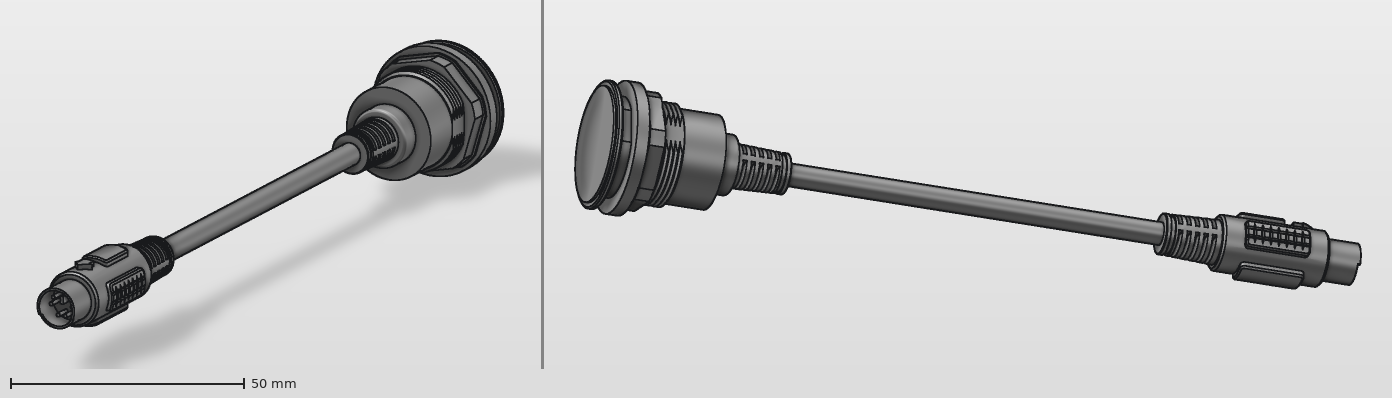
import math

import cadquery as cq

LENGTH = 172.2

FACE_DIA = 25.3
FACE_THICKNESS = 0.5
CAP_DIA = 27.9
CAP_END = 1.9
CAP_CHAMFER = 0.3
BARREL_MINOR_DIA = 21.0
BARREL_MAJOR_DIA = 22.5
BARREL_PLAIN_DIA = 22.0
BARREL_ACROSS_FLATS = 20.7
KEY_WIDTH = 1.9
KEY_LENGTH = 2.0
KEY_HEIGHT = 12.4
FLANGE_START = 4.8
FLANGE_END = 7.5
FLANGE_DIA = 29.0
NUT_BASE_END = 8.1
NUT_BASE_ACROSS_FLATS = 25.3
NUT_BASE_CORNER_DIA = 27.0
NUT_END = 11.7
NUT_CORNER_DIA = 26.0
NUT_ACROSS_FLATS = 24.1
NUT_TURN = 13.5
THREAD_PITCH = 1.0
THREAD_TURNS = 5
THREAD_END = NUT_END + THREAD_TURNS * THREAD_PITCH
HOUSING_DIA = 20.7
HOUSING_END = 26.3
COLLAR_DIA = 13.3
COLLAR_END = 30.8
COLLAR_FILLET = 0.7

RELIEF_LENGTH = 12.4
RELIEF_ROOT_DIA = 9.8
RELIEF_TIP_DIA = 9.0
RELIEF_CORE_DIA = 4.3
RELIEF_NECK_DIA = 8.1
RELIEF_NECK_LENGTH = 1.0
RELIEF_END_RING = 1.0
RELIEF_END_CHAMFER = 0.2
SLOT_COUNT = 5
SLOT_PITCH = 1.9
FIRST_SLOT = 1.7
SLOT_WIDTH = 0.9
WEB_THICKNESS = 1.5

CABLE_DIA = 5.0

PLUG_START = 140.6
PLUG_END = 164.7
PLUG_DIA = 12.2
PLUG_CORE_DIA = 10.3
PLUG_CHAMFER = 0.5
PAD_DIA = 14.5
PAD_START = 145.5
GRIP_LENGTH = 14.5
WINDOW_LENGTH = 10.2
PAD_WIDTH = 6.2
PAD_CORNER = 0.9
PAD_CHAMFER = 0.3
GRIP_RIBS = 3
GRIP_TEETH = 8
GRIP_GROOVE_WIDTH = 0.7
GRIP_GROOVE_DEPTH = 0.3
ARROW_START = 158.0
ARROW_SHOULDER = 160.0
ARROW_TIP = 162.5
ARROW_SHAFT_WIDTH = 2.8
ARROW_HEAD_WIDTH = 4.1
SHELL_DIA = 9.1
SHELL_BORE = 8.1
SHELL_DEPTH = 6.0
SHELL_STEP_Z = -1.9
SHELL_STEP_LENGTH = 0.5
PIN_DIA = 0.9
PIN_LENGTH = 3.5
PIN_PAIRS = [(2.0, 1.5), (2.5, 0.0), (0.9, -2.2)]
POLARISER_WIDTH = 0.7
POLARISER_HEIGHT = 1.7
POLARISER_Z = 1.2


def section(station):
    """Workplane across the axis; extrusions run towards the plug."""
    return cq.Workplane("XZ", origin=(0, -station, 0))


def disc(start, end, diameter):
    return section(start).circle(diameter / 2).extrude(end - start)


def tube(start, end, outer, inner):
    return section(start).circle(outer / 2).circle(inner / 2).extrude(end - start)


def bar(start, end, width, height, z=0.0):
    """Rectangular bar along the axis, centred in X and centred on height z."""
    return section(start).center(0, z).rect(width, height).extrude(end - start)


def cap():
    face = disc(0, FACE_THICKNESS, FACE_DIA)
    rim = disc(FACE_THICKNESS, CAP_END, CAP_DIA).edges("%CIRCLE").chamfer(CAP_CHAMFER)
    key = bar(CAP_END, CAP_END + KEY_LENGTH, KEY_WIDTH, KEY_HEIGHT, KEY_HEIGHT / 2)
    return face.union(rim).union(key)


def barrel():
    """Threaded barrel with two flats; the thread is a stack of V-shaped ridges."""
    minor = BARREL_MINOR_DIA / 2
    major = BARREL_MAJOR_DIA / 2
    profile = cq.Workplane("XY").moveTo(0, -NUT_END).lineTo(minor, -NUT_END)
    for turn in range(THREAD_TURNS):
        start = NUT_END + turn * THREAD_PITCH
        profile = profile.lineTo(major, -start - THREAD_PITCH / 2)
        profile = profile.lineTo(minor, -start - THREAD_PITCH)
    thread = profile.lineTo(0, -THREAD_END).close().revolve(360, (0, 0, 0), (0, 1, 0))
    plain = disc(CAP_END, NUT_END, BARREL_PLAIN_DIA)
    flats = bar(CAP_END, THREAD_END, BARREL_ACROSS_FLATS, BARREL_MAJOR_DIA)
    return plain.union(thread).intersect(flats)


def rounded_hexagon(start, end, across_flats, corner_dia):
    """Hexagon with its corners turned down to a circle, one flat near the top."""
    hexagon = section(start).polygon(6, across_flats / math.cos(math.pi / 6)).extrude(end - start)
    hexagon = hexagon.rotate((0, 0, 0), (0, 1, 0), -NUT_TURN)
    return hexagon.intersect(disc(start, end, corner_dia))


def socket():
    flange = disc(FLANGE_START, FLANGE_END, FLANGE_DIA)
    nut_base = rounded_hexagon(FLANGE_END, NUT_BASE_END, NUT_BASE_ACROSS_FLATS, NUT_BASE_CORNER_DIA)
    nut = rounded_hexagon(NUT_BASE_END, NUT_END, NUT_ACROSS_FLATS, NUT_CORNER_DIA)
    housing = disc(THREAD_END, HOUSING_END, HOUSING_DIA)
    collar = disc(HOUSING_END, COLLAR_END, COLLAR_DIA).faces("<Y").edges().fillet(COLLAR_FILLET)
    body = cap().union(barrel())
    for piece in (flange, nut_base, nut, housing, collar):
        body = body.union(piece)
    return body


def strain_relief(root, direction):
    """Relief growing from station root, towards the plug (1) or the socket (-1)."""

    def span(near, far):
        return sorted((root + direction * near, root + direction * far))

    end_ring_start = RELIEF_LENGTH - RELIEF_END_RING
    neck_start = end_ring_start - RELIEF_NECK_LENGTH
    near_dia, far_dia = (RELIEF_ROOT_DIA, RELIEF_TIP_DIA)[::direction]
    start, end = span(0, neck_start)
    relief = section(start).circle(near_dia / 2).workplane(offset=end - start).circle(far_dia / 2).loft()

    web = bar(start, end, RELIEF_ROOT_DIA, WEB_THICKNESS)
    for slot in range(SLOT_COUNT):
        slot_start = FIRST_SLOT + slot * SLOT_PITCH - SLOT_WIDTH / 2
        slot_span = span(slot_start, slot_start + SLOT_WIDTH)
        relief = relief.cut(tube(*slot_span, RELIEF_ROOT_DIA, RELIEF_CORE_DIA).cut(web))

    neck = disc(*span(neck_start, end_ring_start), RELIEF_NECK_DIA)
    end_ring = disc(*span(end_ring_start, RELIEF_LENGTH), RELIEF_TIP_DIA)
    outer_face = "<Y" if direction > 0 else ">Y"
    end_ring = end_ring.faces(outer_face).edges().chamfer(RELIEF_END_CHAMFER)
    return relief.union(neck).union(end_ring)


def pad_height(outline):
    """Trim an upright prism to the raised pad surface concentric with the plug body."""
    return outline.intersect(tube(PLUG_START, PLUG_END, PAD_DIA, PLUG_CORE_DIA))


def raised_pad(length):
    """Pad on the upper side of the plug body with rounded corners and chamfered rim."""
    middle = PAD_START + length / 2
    block = cq.Workplane("XY", origin=(0, -middle, 0)).rect(PAD_WIDTH, length).extrude(PAD_DIA)
    pad = block.edges("|Z").fillet(PAD_CORNER)
    return pad_height(pad).faces(">Z").edges().chamfer(PAD_CHAMFER)


def vee_groove(length):
    """Groove cutter along X whose point sits at the origin, opening upwards."""
    half = GRIP_GROOVE_WIDTH / 2
    corners = [(0, 0), (half, GRIP_GROOVE_DEPTH), (-half, GRIP_GROOVE_DEPTH)]
    return cq.Workplane("YZ").polyline(corners).close().extrude(length / 2, both=True)


def grip_pad():
    """Raised pad cut into ribs along the axis, with crosswise teeth."""
    pad = raised_pad(GRIP_LENGTH)
    radius = PAD_DIA / 2
    bottom = radius - GRIP_GROOVE_DEPTH
    middle = PAD_START + GRIP_LENGTH / 2
    rib_pitch = PAD_WIDTH / GRIP_RIBS
    for groove in range(1, GRIP_RIBS):
        x = groove * rib_pitch - PAD_WIDTH / 2
        tilt = math.degrees(math.asin(x / radius))
        lengthwise = vee_groove(GRIP_LENGTH).rotate((0, 0, 0), (0, 0, 1), 90)
        lengthwise = lengthwise.translate((0, -middle, bottom)).rotate((0, 0, 0), (0, 1, 0), tilt)
        pad = pad.cut(lengthwise)
    tooth_pitch = GRIP_LENGTH / GRIP_TEETH
    for tooth in range(1, GRIP_TEETH):
        station = PAD_START + tooth * tooth_pitch
        pad = pad.cut(vee_groove(PAD_WIDTH).translate((0, -station, bottom)))
    return pad


def arrow():
    shaft = ARROW_SHAFT_WIDTH / 2
    head = ARROW_HEAD_WIDTH / 2
    outline = [
        (-shaft, -ARROW_START),
        (shaft, -ARROW_START),
        (shaft, -ARROW_SHOULDER),
        (head, -ARROW_SHOULDER),
        (0, -ARROW_TIP),
        (-head, -ARROW_SHOULDER),
        (-shaft, -ARROW_SHOULDER),
    ]
    return pad_height(cq.Workplane("XY").polyline(outline).close().extrude(PAD_DIA))


def plug_body():
    body = disc(PLUG_START, PLUG_END, PLUG_DIA)
    body = body.edges("%CIRCLE").chamfer(PLUG_CHAMFER)
    body = body.union(raised_pad(WINDOW_LENGTH)).union(arrow())
    underside = raised_pad(GRIP_LENGTH).rotate((0, 0, 0), (0, 1, 0), 180)
    body = body.union(underside)
    for side in (-90, 90):
        body = body.union(grip_pad().rotate((0, 0, 0), (0, 1, 0), side))
    return body


def plug_shell():
    """Open shell, slightly shorter along its lower edge, with pins and a key bar inside."""
    floor = LENGTH - SHELL_DEPTH
    base = disc(PLUG_END, floor, SHELL_DIA)
    wall = tube(floor, LENGTH, SHELL_DIA, SHELL_BORE)
    step_top = SHELL_STEP_Z - SHELL_DIA / 2
    step = bar(LENGTH - SHELL_STEP_LENGTH, LENGTH, SHELL_DIA, SHELL_DIA, step_top)
    shell = base.union(wall.cut(step))
    spots = [(side * x, z) for x, z in PIN_PAIRS for side in (-1, 1)]
    pins = section(floor).pushPoints(spots).circle(PIN_DIA / 2).extrude(PIN_LENGTH)
    polariser = bar(floor, floor + PIN_LENGTH, POLARISER_WIDTH, POLARISER_HEIGHT, POLARISER_Z)
    return shell.union(pins).union(polariser)


cable = disc(COLLAR_END + RELIEF_LENGTH, PLUG_START - RELIEF_LENGTH, CABLE_DIA)

result = socket()
for part in (strain_relief(COLLAR_END, 1), cable, strain_relief(PLUG_START, -1), plug_body(), plug_shell()):
    result = result.union(part)